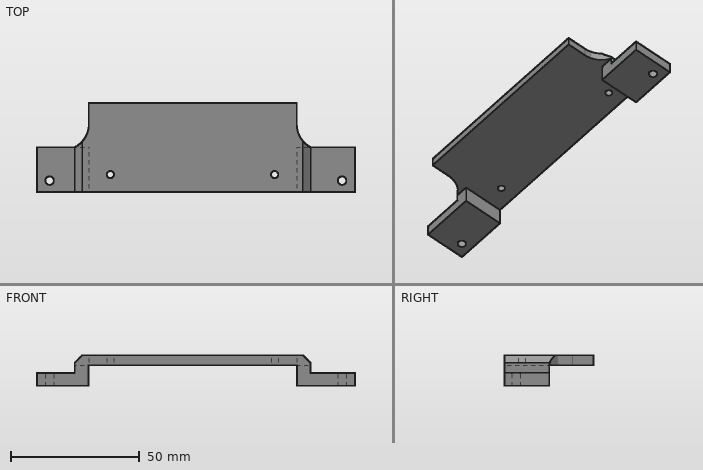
import cadquery as cq
import math

length = 123.4
depth = 34.5
height = 12.0

plate_thickness = 4.0
foot_thickness = 5.0
foot_depth = 17.4
chamfer = 3.0
corner_radius = 10.0

left_wall_outer = 14.7
left_wall_inner = 20.1
right_wall_inner = 100.8
right_wall_outer = 106.1

foot_hole_diameter = 3.2
foot_hole_y = 4.5
foot_hole_xs = (4.9, 118.4)
plate_hole_diameter = 2.7
plate_hole_y = 6.8
plate_hole_xs = (28.5, 92.2)

plate_bottom = height - plate_thickness


def arc_rise(wall_thickness):
    """Y distance from the foot's back face to where the arc meets the plate side."""
    return math.sqrt(corner_radius**2 - (corner_radius - wall_thickness) ** 2)


def make_bridge():
    """Stepped and chamfered front profile, as deep as the feet."""
    profile = [
        (0, 0),
        (left_wall_inner, 0),
        (left_wall_inner, plate_bottom),
        (right_wall_inner, plate_bottom),
        (right_wall_inner, 0),
        (length, 0),
        (length, foot_thickness),
        (right_wall_outer, foot_thickness),
        (right_wall_outer, height - chamfer),
        (right_wall_outer - chamfer, height),
        (left_wall_outer + chamfer, height),
        (left_wall_outer, height - chamfer),
        (left_wall_outer, foot_thickness),
        (0, foot_thickness),
    ]
    return cq.Workplane("XZ").polyline(profile).close().extrude(-foot_depth)


def make_rear_plate():
    """Rear part of the plate, narrowed by a concave arc on each side."""
    left_arc_end = foot_depth + arc_rise(left_wall_inner - left_wall_outer)
    right_arc_end = foot_depth + arc_rise(right_wall_outer - right_wall_inner)
    outline = (
        cq.Workplane("XY", origin=(0, 0, plate_bottom))
        .moveTo(left_wall_outer, foot_depth)
        .lineTo(right_wall_outer, foot_depth)
        .radiusArc((right_wall_inner, right_arc_end), corner_radius)
        .lineTo(right_wall_inner, depth)
        .lineTo(left_wall_inner, depth)
        .lineTo(left_wall_inner, left_arc_end)
        .radiusArc((left_wall_outer, foot_depth), corner_radius)
        .close()
    )
    plate = outline.extrude(plate_thickness)

    chamfered_section = (
        cq.Workplane("XZ")
        .moveTo(left_wall_outer, 0)
        .lineTo(right_wall_outer, 0)
        .lineTo(right_wall_outer, height - chamfer)
        .lineTo(right_wall_outer - chamfer, height)
        .lineTo(left_wall_outer + chamfer, height)
        .lineTo(left_wall_outer, height - chamfer)
        .close()
        .extrude(-depth)
    )
    return plate.intersect(chamfered_section)


def make_holes(xs, y, diameter):
    """Vertical cutters through the full height."""
    return cq.Workplane("XY").pushPoints([(x, y) for x in xs]).circle(diameter / 2).extrude(height)


result = (
    make_bridge()
    .union(make_rear_plate())
    .cut(make_holes(foot_hole_xs, foot_hole_y, foot_hole_diameter))
    .cut(make_holes(plate_hole_xs, plate_hole_y, plate_hole_diameter))
)